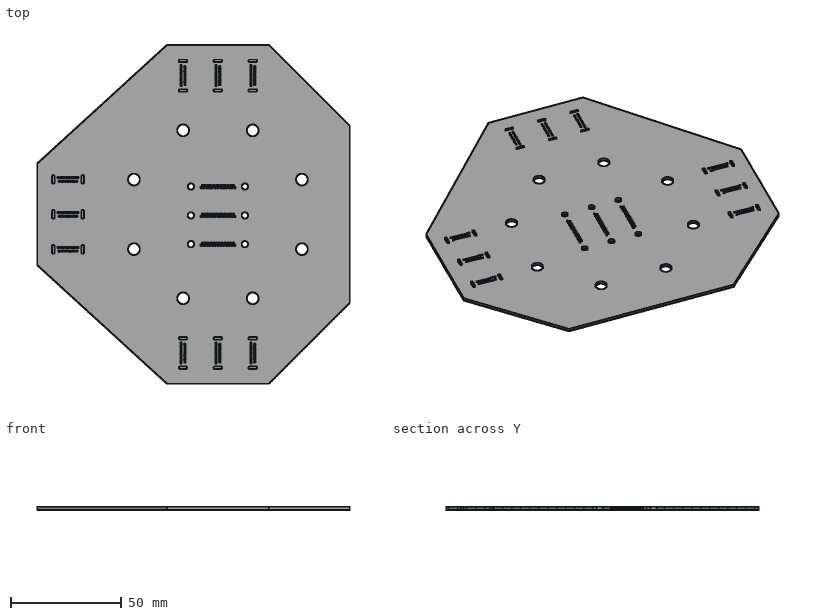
import cadquery as cq
import math

plate_thickness = 1.5
overall_length_x = 142.0
half_length_y = 77.0
right_edge_x = 59.9
left_edge_x = right_edge_x - overall_length_x
narrow_edge_half = 23.1
corner_cut = right_edge_x - narrow_edge_half
right_edge_half = half_length_y - corner_cut

mount_hole_count = 8
mount_hole_diameter = 5.2
mount_ring_radius = 41.3
mount_ring_step = 360 / mount_hole_count

edge_connector_pitch = 15.9
edge_connector_count = 3
left_connector_x = -68.0
end_connector_y = 63.0
slot_length = 3.8
slot_width = 1.0
slot_spacing = 13.4
edge_pin_diameter = 0.55
edge_pin_pitch = 1.0
edge_row_spacing = 1.7
edge_long_row_pins = 10

central_connector_pitch = 13.1
central_connector_count = 3
central_connector_y = -0.5
screw_hole_diameter = 2.8
screw_hole_spacing = 24.5
central_pin_diameter = 0.6
central_long_row_pins = 13
central_row_span = 15.2
central_pin_pitch = central_row_span / (central_long_row_pins - 1)
central_row_spacing = 1.0


def centred_positions(count, pitch):
    """Evenly spaced coordinates centred on zero."""
    return [(i - (count - 1) / 2) * pitch for i in range(count)]


def pin_row(count, pitch, y):
    return [(x, y) for x in centred_positions(count, pitch)]


def round_cutters(points, diameter):
    return cq.Workplane("XY").pushPoints(points).circle(diameter / 2).extrude(plate_thickness)


def edge_connector():
    """Cutters along X, with the longer pin row on the +Y side."""
    half_gap = edge_row_spacing / 2
    pins = pin_row(edge_long_row_pins, edge_pin_pitch, half_gap)
    pins += pin_row(edge_long_row_pins - 1, edge_pin_pitch, -half_gap)
    slots = (
        cq.Workplane("XY")
        .pushPoints([(x, 0) for x in centred_positions(2, slot_spacing)])
        .slot2D(slot_length, slot_width, 90)
        .extrude(plate_thickness)
    )
    return slots.vals() + round_cutters(pins, edge_pin_diameter).vals()


def central_connector():
    """Cutters along X, with the longer pin row on the -Y side."""
    half_gap = central_row_spacing / 2
    pins = pin_row(central_long_row_pins, central_pin_pitch, -half_gap)
    pins += pin_row(central_long_row_pins - 1, central_pin_pitch, half_gap)
    screws = [(x, 0) for x in centred_positions(2, screw_hole_spacing)]
    return (
        round_cutters(screws, screw_hole_diameter).vals()
        + round_cutters(pins, central_pin_diameter).vals()
    )


def placed(cutters, x, y, angle=0):
    location = cq.Location(cq.Vector(x, y, 0), cq.Vector(0, 0, 1), angle)
    return [cutter.moved(location) for cutter in cutters]


plate = (
    cq.Workplane("XY")
    .moveTo(right_edge_x, -right_edge_half)
    .lineTo(right_edge_x, right_edge_half)
    .lineTo(narrow_edge_half, half_length_y)
    .lineTo(-narrow_edge_half, half_length_y)
    .lineTo(left_edge_x, narrow_edge_half)
    .lineTo(left_edge_x, -narrow_edge_half)
    .lineTo(-narrow_edge_half, -half_length_y)
    .lineTo(narrow_edge_half, -half_length_y)
    .close()
    .extrude(plate_thickness)
)

mount_angles = [math.radians((i + 0.5) * mount_ring_step) for i in range(mount_hole_count)]
mount_points = [
    (mount_ring_radius * math.cos(a), mount_ring_radius * math.sin(a)) for a in mount_angles
]
cutters = round_cutters(mount_points, mount_hole_diameter).vals()

for offset in centred_positions(edge_connector_count, edge_connector_pitch):
    cutters += placed(edge_connector(), left_connector_x, offset)
    for y in (-end_connector_y, end_connector_y):
        cutters += placed(edge_connector(), offset, y, 90)

for offset in centred_positions(central_connector_count, central_connector_pitch):
    cutters += placed(central_connector(), 0, central_connector_y + offset)

result = cq.Workplane(plate.val().cut(*cutters))